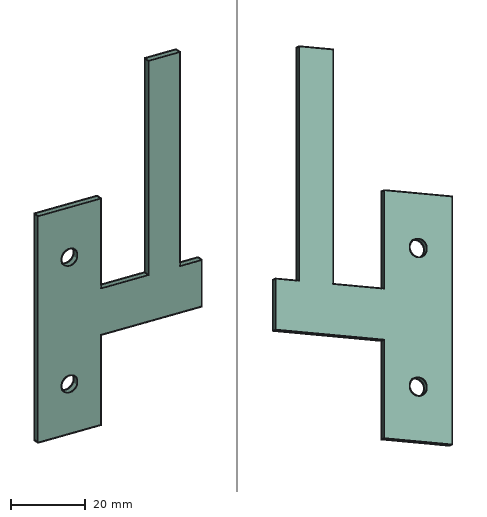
import cadquery as cq

thickness = 2.0
total_height = 105.2
total_width = 52.0

plate_width = 20.0
plate_height = 68.0
hole_diameter = 5.0
hole_spacing = 38.0

arm_height = 14.0
finger_width = 10.0
finger_gap = 15.0

arm_bottom = (plate_height - arm_height) / 2
arm_top = arm_bottom + arm_height
finger_start = plate_width + finger_gap


def slab(y_start, z_start, width, height):
    """Flat rectangle in the YZ plane, thickened along +X."""
    return (
        cq.Workplane("YZ")
        .rect(width, height, centered=False)
        .extrude(thickness)
        .translate((0, y_start, z_start))
    )


plate = slab(0, 0, plate_width, plate_height)
arm = slab(plate_width, arm_bottom, total_width - plate_width, arm_height)
finger = slab(finger_start, arm_top, finger_width, total_height - arm_top)

holes = (
    cq.Workplane("YZ")
    .center(plate_width / 2, plate_height / 2)
    .rarray(1, hole_spacing, 1, 2)
    .circle(hole_diameter / 2)
    .extrude(thickness)
)

result = plate.union(arm).union(finger).cut(holes)